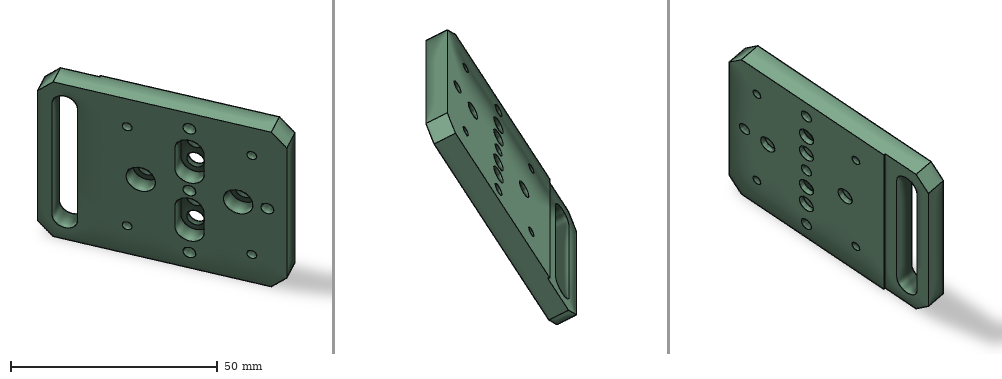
import cadquery as cq

width = 64.0
height = 50.0
thickness = 6.0
corner_chamfer = 4.0
front_y = -thickness / 2
back_y = thickness / 2

step_width = 14.0
step_depth = 0.5

long_slot_width = 6.5
long_slot_length = 42.5
long_slot_edge_distance = 7.0
long_slot_x = -width / 2 + long_slot_edge_distance

pattern_x = 7.0
screw_diameter = 4.5
recess_diameter = 7.5
recess_depth = 4.5
screw_reach = 12.5
inner_screw_reach = screw_reach / 2
pin_diameter = 3.24
pin_reach = 20.0
tapped_diameter = 2.46
tapped_reach = 16.0


def front_plane(points):
    """Workplane on the front face, facing into the plate, with a point at each (x, z)."""
    plane = cq.Plane(origin=(0, front_y, 0), xDir=(1, 0, 0), normal=(0, 1, 0))
    return cq.Workplane(plane).pushPoints([(x, -z) for x, z in points])


def round_cutter(points, diameter, depth=thickness):
    return front_plane(points).circle(diameter / 2).extrude(depth)


def slot_cutter(points, length, slot_width, depth=thickness):
    """Round-ended slots that run along Z."""
    return front_plane(points).slot2D(length, slot_width, 90).extrude(depth)


def make_plate():
    plate = cq.Workplane("XY").box(width, thickness, height)
    plate = plate.edges("|Y").chamfer(corner_chamfer)
    step = cq.Workplane("XY").box(step_width, step_depth, height, centered=(False, False, True))
    return plate.cut(step.translate((-width / 2, back_y - step_depth, 0)))


def cut_long_slot(plate):
    return plate.cut(slot_cutter([(long_slot_x, 0)], long_slot_length, long_slot_width))


def cut_screw_holes(plate):
    """Two counterbored holes along X, and two pairs along Z that share slotted recesses."""
    side_points = [(pattern_x + side * screw_reach, 0) for side in (-1, 1)]
    pair_points = [
        (pattern_x, side * reach)
        for side in (-1, 1)
        for reach in (inner_screw_reach, screw_reach)
    ]
    pair_centre = (inner_screw_reach + screw_reach) / 2
    recess_points = [(pattern_x, side * pair_centre) for side in (-1, 1)]
    recess_length = screw_reach - inner_screw_reach + recess_diameter

    plate = plate.cut(round_cutter(side_points + pair_points, screw_diameter))
    plate = plate.cut(round_cutter(side_points, recess_diameter, recess_depth))
    return plate.cut(slot_cutter(recess_points, recess_length, recess_diameter, recess_depth))


def cut_pin_holes(plate):
    points = [(pattern_x, 0), (pattern_x + pin_reach, 0)]
    points += [(pattern_x, side * pin_reach) for side in (-1, 1)]
    return plate.cut(round_cutter(points, pin_diameter))


def cut_tapped_holes(plate):
    points = [
        (pattern_x + x_side * tapped_reach, z_side * tapped_reach)
        for x_side in (-1, 1)
        for z_side in (-1, 1)
    ]
    return plate.cut(round_cutter(points, tapped_diameter))


result = make_plate()
result = cut_long_slot(result)
result = cut_screw_holes(result)
result = cut_pin_holes(result)
result = cut_tapped_holes(result)